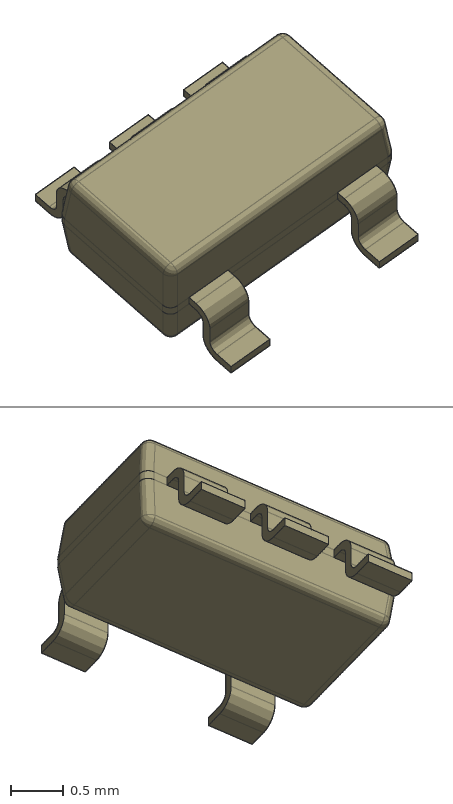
import cadquery as cq
import math


span_x = 2.8
housing_length = 2.9
total_height = 1.1

housing_width = 1.6
standoff = 0.01
draft_angle = 6.0
edge_radius = 0.1

lead_width = 0.5
lead_thickness = 0.1
lead_pitch = 0.95
lead_top = 0.6
foot_length = 0.2
bend_outer_radius = 0.2
bend_inner_radius = bend_outer_radius - lead_thickness

band_top = lead_top
band_bottom = lead_top - lead_thickness


def make_half(height):
    """Rounded, drafted block rising from Z = 0 with its wide face down."""
    return (
        cq.Workplane("XY")
        .rect(housing_width, housing_length)
        .extrude(height, taper=draft_angle)
        .edges("not <Z")
        .fillet(edge_radius)
    )


def make_housing():
    """Straight parting band between two drafted halves, as one solid."""
    band = (
        cq.Workplane("XY", origin=(0, 0, band_bottom))
        .rect(housing_width, housing_length)
        .extrude(band_top - band_bottom)
        .edges("|Z")
        .fillet(edge_radius)
    )
    upper = make_half(total_height - band_top).translate((0, 0, band_top))
    lower = make_half(band_bottom - standoff).mirror("XY").translate((0, 0, band_bottom))
    return band.union(upper).union(lower)


def make_lead():
    """Gull-wing lead on the -X side, centred on Y = 0, butting on the housing."""
    tip_x = -span_x / 2
    foot_end_x = tip_x + foot_length
    leg_outer_x = foot_end_x + bend_inner_radius
    leg_inner_x = foot_end_x + bend_outer_radius
    shoulder_x = leg_outer_x + bend_outer_radius
    housing_face_x = -housing_width / 2
    leg_bottom_z = bend_outer_radius
    leg_top_z = lead_top - bend_outer_radius
    diagonal = math.sqrt(0.5)

    def lower_bend_middle(radius):
        return (foot_end_x + radius * diagonal, leg_bottom_z - radius * diagonal)

    def upper_bend_middle(radius):
        return (shoulder_x - radius * diagonal, leg_top_z + radius * diagonal)

    return (
        cq.Workplane("XZ")
        .moveTo(tip_x, 0)
        .lineTo(foot_end_x, 0)
        .threePointArc(lower_bend_middle(bend_outer_radius), (leg_inner_x, leg_bottom_z))
        .lineTo(leg_inner_x, leg_top_z)
        .threePointArc(upper_bend_middle(bend_inner_radius), (shoulder_x, band_bottom))
        .lineTo(housing_face_x, band_bottom)
        .lineTo(housing_face_x, lead_top)
        .lineTo(shoulder_x, lead_top)
        .threePointArc(upper_bend_middle(bend_outer_radius), (leg_outer_x, leg_top_z))
        .lineTo(leg_outer_x, leg_bottom_z)
        .threePointArc(lower_bend_middle(bend_inner_radius), (foot_end_x, lead_thickness))
        .lineTo(tip_x, lead_thickness)
        .close()
        .extrude(lead_width / 2, both=True)
    )


def make_lead_row(turn, rows):
    """Leads turned about Z by the given degrees, one at each row of the pitch."""
    lead = make_lead().rotate((0, 0, 0), (0, 0, 1), turn)
    return [lead.translate((0, row * lead_pitch, 0)).val() for row in rows]


housing = make_housing()
left_leads = make_lead_row(0, [-1, 0, 1])
right_leads = make_lead_row(180, [-1, 1])

result = cq.Compound.makeCompound([housing.val(), *left_leads, *right_leads])